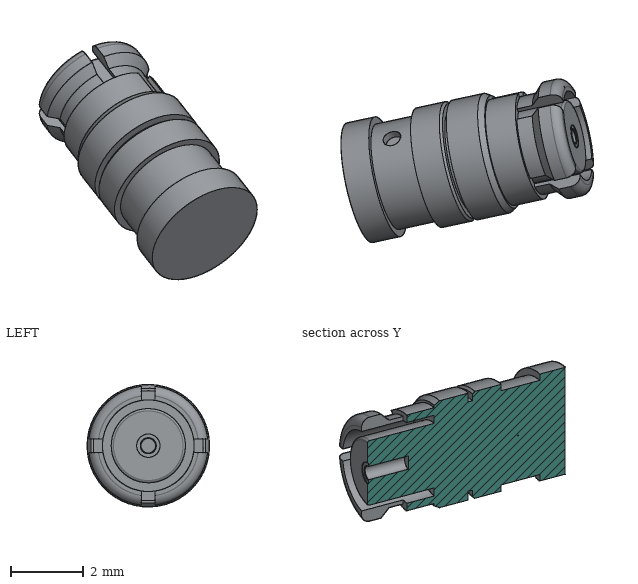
import cadquery as cq

length = 6.35
head_round = 0.265
head_end = 0.615
neck_start = 0.875
collar_start = 1.32
body_start = 2.19
body_chamfer_end = 2.36
groove_start = 3.275
groove_end = 3.41
ring_chamfer_end = 3.48
waist_start = 4.32
flange_start = 5.54

body_radius = 3.4 / 2
head_radius = 1.66
face_radius = head_radius - head_round
neck_radius = 1.4
collar_radius = 1.525
body_front_radius = 1.595
groove_radius = 1.42
ring_front_radius = body_radius - (ring_chamfer_end - groove_end)
waist_radius = 1.5

bore_radius = 1.27
bore_depth = body_start
finger_slot_width = 0.38
insulator_front = 0.08
insulator_radius = 1.03
insulator_round = 0.065
contact_radius = 0.325
contact_recess = 0.02
socket_radius = 0.205
socket_chamfer = 0.02
socket_depth = 1.27

keyway_width = 0.52
keyway_angle = 45.0

side_hole_radius = 0.255
side_hole_x = 4.93
side_hole_depth = 0.255


def cylinder(start, end, radius):
    """Solid cylinder on the X axis between two stations."""
    return cq.Workplane("YZ", origin=(start, 0, 0)).circle(radius).extrude(end - start)


def make_shell():
    """Revolve the stepped outer outline about the X axis."""
    arc_offset = head_round * 0.5 ** 0.5
    arc_middle = (head_round - arc_offset, face_radius + arc_offset)
    outline = (
        cq.Workplane("XY")
        .lineTo(0, face_radius)
        .threePointArc(arc_middle, (head_round, head_radius))
        .lineTo(head_end, head_radius)
        .lineTo(neck_start, neck_radius)
        .lineTo(collar_start, neck_radius)
        .lineTo(collar_start, collar_radius)
        .lineTo(body_start, collar_radius)
        .lineTo(body_start, body_front_radius)
        .lineTo(body_chamfer_end, body_radius)
        .lineTo(groove_start, body_radius)
        .lineTo(groove_start, groove_radius)
        .lineTo(groove_end, groove_radius)
        .lineTo(groove_end, ring_front_radius)
        .lineTo(ring_chamfer_end, body_radius)
        .lineTo(waist_start, body_radius)
        .lineTo(waist_start, waist_radius)
        .lineTo(flange_start, waist_radius)
        .lineTo(flange_start, body_radius)
        .lineTo(length, body_radius)
        .lineTo(length, 0)
        .close()
    )
    return outline.revolve(360, (0, 0, 0), (1, 0, 0))


def cut_fingers(part):
    """Open the bore and split its wall into four fingers."""
    part = part.cut(cylinder(0, bore_depth, bore_radius))
    for angle in (0, 90):
        slot = cq.Workplane("XY").box(
            collar_start, 2 * body_radius, finger_slot_width, centered=(False, True, True)
        )
        part = part.cut(slot.rotate((0, 0, 0), (1, 0, 0), angle))
    return part


def make_insulator():
    """Rounded insulator with a recessed contact face and its socket."""
    insulator = cylinder(insulator_front, bore_depth, insulator_radius)
    insulator = insulator.faces("<X").fillet(insulator_round)
    contact_face = insulator_front + contact_recess
    recess = cylinder(insulator_front, contact_face, contact_radius)
    socket = cylinder(contact_face, contact_face + socket_depth, socket_radius)
    countersink = cq.Workplane(
        cq.Solid.makeCone(
            socket_radius + socket_chamfer,
            socket_radius,
            socket_chamfer,
            cq.Vector(contact_face, 0, 0),
            cq.Vector(1, 0, 0),
        )
    )
    return insulator.cut(recess).cut(socket).cut(countersink)


def make_keyway():
    """Parallel-sided slot through the collar, with a floor at the neck radius."""
    block = cq.Workplane("XY").box(
        body_start - collar_start, body_radius, keyway_width, centered=(False, False, True)
    )
    block = block.translate((collar_start, 0, 0)).rotate((0, 0, 0), (1, 0, 0), keyway_angle)
    return block.cut(cylinder(collar_start, body_start, neck_radius))


def make_side_hole():
    """Blind radial hole entering from the +Y side."""
    start = (side_hole_x, waist_radius, 0)
    return cq.Workplane("XZ", origin=start).circle(side_hole_radius).extrude(side_hole_depth)


result = cut_fingers(make_shell()).union(make_insulator())
result = result.cut(make_keyway()).cut(make_side_hole())